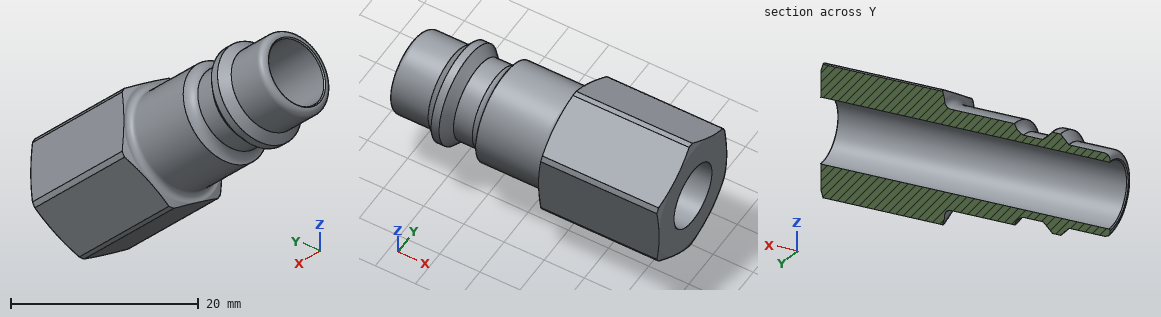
import cadquery as cq
import math

LENGTH = 35.0
ACROSS_FLATS = 14.0
ACROSS_CORNERS = 15.8

BORE_DIAMETER = 7.85
NOSE_DIAMETER = 9.9
NECK_DIAMETER = 9.75
BODY_DIAMETER = 12.0

COLLAR_CONE_START = 5.0
COLLAR_START = 6.02
COLLAR_END = 7.0
NECK_START = 8.12
NECK_END = 10.45
BODY_START = 11.55
HEX_START = 20.0

NOSE_ROUND = 0.77
BORE_CHAMFER = 0.15
HEX_ROOT_FILLET = 0.75
NECK_ARC_RADIUS = 1.5
HEX_CHAMFER_ANGLE = 17.0
HEX_CHAMFER_DIAMETER = 14.0


def make_spigot():
    """Revolve the nose, locking collar, neck and body."""
    nose_radius = NOSE_DIAMETER / 2
    neck_radius = NECK_DIAMETER / 2
    body_radius = BODY_DIAMETER / 2
    nose_round_offset = NOSE_ROUND * math.sqrt(0.5)
    root_offset = HEX_ROOT_FILLET * math.sqrt(0.5)
    return (
        cq.Workplane("XY")
        .moveTo(0, 0)
        .lineTo(0, nose_radius - NOSE_ROUND)
        .threePointArc(
            (NOSE_ROUND - nose_round_offset, nose_radius - NOSE_ROUND + nose_round_offset),
            (NOSE_ROUND, nose_radius),
        )
        .lineTo(COLLAR_CONE_START, nose_radius)
        .lineTo(COLLAR_START, body_radius)
        .lineTo(COLLAR_END, body_radius)
        .lineTo(NECK_START, neck_radius)
        .lineTo(NECK_END, neck_radius)
        .radiusArc((BODY_START, body_radius), -NECK_ARC_RADIUS)
        .lineTo(HEX_START - HEX_ROOT_FILLET, body_radius)
        .threePointArc(
            (HEX_START - HEX_ROOT_FILLET + root_offset, body_radius + HEX_ROOT_FILLET - root_offset),
            (HEX_START, body_radius + HEX_ROOT_FILLET),
        )
        .lineTo(HEX_START, 0)
        .close()
        .revolve(360, (0, 0, 0), (1, 0, 0))
    )


def make_hex():
    """Hexagon with corners toward +Z and -Z, trimmed by a round envelope with conical ends."""
    hexagon_diameter = ACROSS_FLATS / math.cos(math.radians(30))
    hexagon = (
        cq.Workplane("YZ", origin=(HEX_START, 0, 0))
        .transformed(rotate=(0, 0, 90))
        .polygon(6, hexagon_diameter)
        .extrude(LENGTH - HEX_START)
    )
    outer_radius = ACROSS_CORNERS / 2
    end_radius = HEX_CHAMFER_DIAMETER / 2
    chamfer_length = (outer_radius - end_radius) * math.tan(math.radians(HEX_CHAMFER_ANGLE))
    envelope = (
        cq.Workplane("XY")
        .polyline([
            (HEX_START, 0),
            (HEX_START, end_radius),
            (HEX_START + chamfer_length, outer_radius),
            (LENGTH - chamfer_length, outer_radius),
            (LENGTH, end_radius),
            (LENGTH, 0),
        ])
        .close()
        .revolve(360, (0, 0, 0), (1, 0, 0))
    )
    return hexagon.intersect(envelope)


def make_bore():
    """Straight bore through the whole length, chamfered at the nose."""
    bore_radius = BORE_DIAMETER / 2
    return (
        cq.Workplane("XY")
        .polyline([
            (0, 0),
            (0, bore_radius + BORE_CHAMFER),
            (BORE_CHAMFER, bore_radius),
            (LENGTH, bore_radius),
            (LENGTH, 0),
        ])
        .close()
        .revolve(360, (0, 0, 0), (1, 0, 0))
    )


result = make_spigot().union(make_hex()).cut(make_bore())